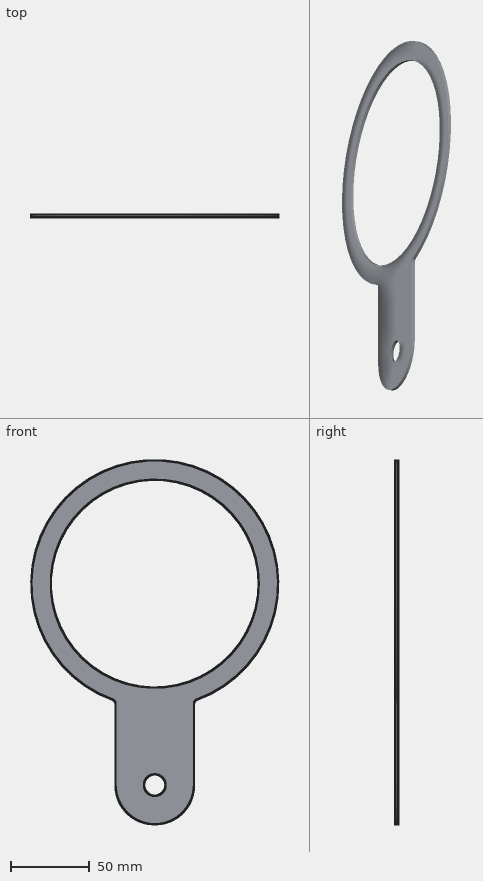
import cadquery as cq

ring_outer_diameter = 157.0
ring_inner_diameter = 132.0
overall_height = 231.5
thickness = 2.0
tab_width = 50.0
tab_hole_diameter = 13.5
neck_fillet_radius = 2.5

ring_outer_radius = ring_outer_diameter / 2
tab_end_radius = tab_width / 2
tab_end_z = ring_outer_radius - overall_height + tab_end_radius


def plate(center_z=0.0):
    """Workplane on the back face, centred at the given height on the Z axis."""
    return cq.Workplane("XZ", origin=(0, thickness / 2, center_z))


def make_ring_disc():
    return plate().circle(ring_outer_radius).extrude(thickness)


def make_tab():
    """Straight-sided tab from the ring centre down to a full-round end."""
    return (
        plate()
        .moveTo(-tab_end_radius, 0)
        .lineTo(-tab_end_radius, tab_end_z)
        .threePointArc((0, tab_end_z - tab_end_radius), (tab_end_radius, tab_end_z))
        .lineTo(tab_end_radius, 0)
        .close()
        .extrude(thickness)
    )


def fillet_neck(body):
    """Round the two inside corners where the tab sides meet the ring."""
    neck_z = -((ring_outer_radius**2 - tab_end_radius**2) ** 0.5)
    corner_size = 1.0
    for side in (-1, 1):
        corner_x = side * tab_end_radius
        corner = cq.selectors.BoxSelector(
            (corner_x - corner_size, -thickness, neck_z - corner_size),
            (corner_x + corner_size, thickness, neck_z + corner_size),
        )
        body = body.edges("|Y").edges(corner).fillet(neck_fillet_radius)
    return body


def make_bore(diameter, center_z):
    return plate(center_z).circle(diameter / 2).extrude(thickness)


blank = fillet_neck(make_ring_disc().union(make_tab()))
result = blank.cut(make_bore(ring_inner_diameter, 0)).cut(make_bore(tab_hole_diameter, tab_end_z))